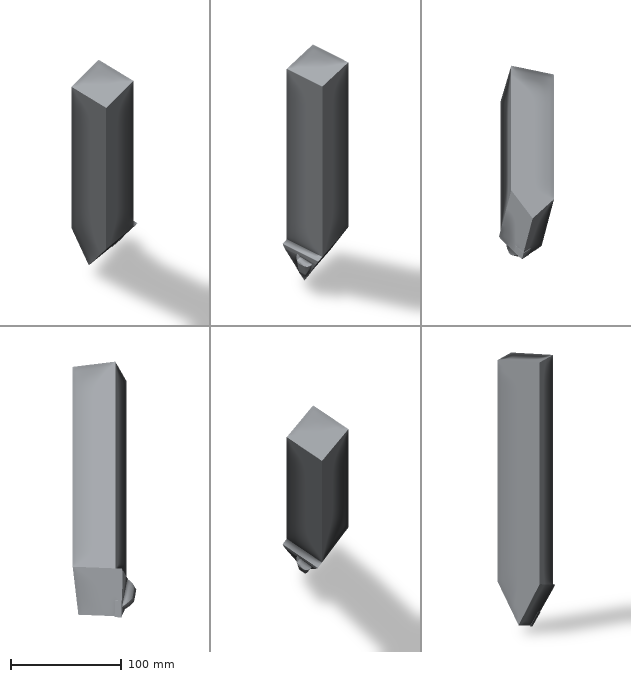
import cadquery as cq
import math

total_length = 251.4
shank_width = 40.0
half_width = shank_width / 2
shank_depth = 40.0
head_depth = 46.2

rake_angle = 10.0
point_angle = 55.0
tip_y = 40.2
flank_setback = 1.0
half_point_tan = math.tan(math.radians(point_angle / 2))
rake_tan = math.tan(math.radians(rake_angle))
rake_cos = math.cos(math.radians(rake_angle))
head_height = flank_setback + half_width / half_point_tan
sweep_length = 75.5

insert_side = 15.0
insert_thickness = 6.3
insert_half_height = insert_side * math.cos(math.radians(point_angle / 2))
insert_half_width = insert_half_height * half_point_tan

clamp_height = 6.3
clamp_crown_left = -8.5
clamp_crown_right = -2.3
clamp_left_bulge = (-11.8, 4.0)
clamp_right_bulge = (1.5, 3.8)
clamp_nose_start = 9.3
clamp_nose_middle = (4.3, 14.8)
clamp_nose_end = 20.5
clamp_left_low = 23.0
clamp_left_high = 32.0
clamp_shoulder = 34.2
clamp_top = 37.2
clamp_crown_top = 32.7
clamp_top_middle = (4.0, 35.2)
clamp_nose_left = -2.8
clamp_left_waist = -9.8
clamp_left = -12.8
clamp_step_left = -2.3
clamp_step_right = 0.3
clamp_right = 3.0


def place_on_rake(body):
    """Tilt a body from the rake frame and move it to the cutting tip."""
    tilted = body.rotate((0, 0, 0), (1, 0, 0), -rake_angle)
    return tilted.translate((0, tip_y, 0))


def make_shank():
    """Square bar whose lower end follows the sloping top of the head."""
    slope_at_tip = head_height / rake_cos
    front_z = slope_at_tip + tip_y * rake_tan
    back_z = front_z - shank_depth * rake_tan
    return (
        cq.Workplane("YZ")
        .polyline([(0, front_z), (shank_depth, back_z), (shank_depth, total_length), (0, total_length)])
        .close()
        .extrude(half_width, both=True)
    )


def make_head():
    """V-shaped head ending at the rake face, with plain front and back faces."""
    wedge = (
        cq.Workplane("XZ")
        .polyline([(0, flank_setback), (half_width, head_height), (-half_width, head_height)])
        .close()
        .extrude(sweep_length)
    )
    limits = cq.Workplane("XY").box(
        shank_width, head_depth, total_length, centered=(True, False, False)
    )
    return place_on_rake(wedge).intersect(limits)


def make_insert():
    """Rhombic insert with its top face in the rake face."""
    insert = (
        cq.Workplane("XZ")
        .polyline([
            (0, 0),
            (insert_half_width, insert_half_height),
            (0, 2 * insert_half_height),
            (-insert_half_width, insert_half_height),
        ])
        .close()
        .extrude(insert_thickness)
    )
    return place_on_rake(insert)


def make_clamp():
    """Clamp finger with rounded sides, a rounded top and a curved nose."""
    outline = (
        cq.Workplane("XZ")
        .polyline([
            (clamp_nose_left, clamp_nose_start),
            (clamp_left_waist, clamp_left_low),
            (clamp_left, clamp_left_high),
            (clamp_step_left, clamp_shoulder),
            (clamp_step_right, clamp_shoulder),
            (clamp_right, clamp_top),
            (clamp_right, clamp_nose_start),
        ])
        .close()
        .extrude(-clamp_height)
    )
    profile = (
        cq.Workplane("YZ")
        .moveTo(0, clamp_nose_start)
        .threePointArc(clamp_nose_middle, (clamp_height, clamp_nose_end))
        .lineTo(clamp_height, clamp_crown_top)
        .threePointArc(clamp_top_middle, (0, clamp_top))
        .close()
        .extrude(shank_width, both=True)
    )
    cross_section = (
        cq.Workplane("XY")
        .moveTo(clamp_left, 0)
        .threePointArc(clamp_left_bulge, (clamp_crown_left, clamp_height))
        .lineTo(clamp_crown_right, clamp_height)
        .threePointArc(clamp_right_bulge, (clamp_right, 0))
        .close()
        .extrude(clamp_top)
    )
    return place_on_rake(outline.intersect(profile).intersect(cross_section))


insert = make_insert()
holder = make_shank().union(make_head()).cut(insert).union(make_clamp())

result = cq.Compound.makeCompound([holder.val(), insert.val()])